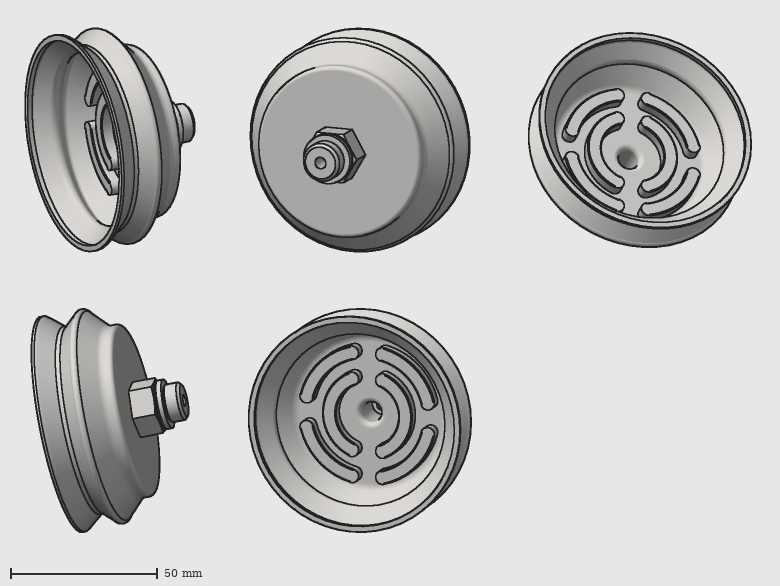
import cadquery as cq
import math


lip_radius = 37.5
lip_band_height = 1.0
lip_cone_radius = 36.9
lip_cone_height = 1.9
neck_edge_radius = 32.7
neck_radius = 32.55
neck_low = 7.1
neck_high = 8.8
bulge_low_radius = 36.6
bulge_low = 13.2
bulge_radius = 37.35
bulge_mid = 14.55
bulge_high_radius = 36.4
bulge_high = 15.8
shoulder_radius = 30.75
shoulder_low = 21.5
shoulder_mid_radius = 30.1
shoulder_mid = 22.8
shoulder_high = 24.2
top_radius = 30.0
body_height = 26.55
top_round = 1.5

mouth_radius = 71.0 / 2
mouth_depth = 1.7
mouth_cone_radius = 35.0
mouth_cone_height = 2.4
throat_radius = 60.0 / 2
throat_edge_radius = 30.6
throat_low = 6.3
throat_mid = (neck_low + neck_high) / 2
throat_high = 2 * throat_mid - throat_low
chamber_radius = 33.4
chamber_edge_radius = 32.85
floor_height = 20.4
floor_radius = 24.9
floor_fillet_end = 27.5

rib_width = 4.8
rib_height = 4.35
inner_rib_radius = 13.5
outer_rib_radius = 22.1
rib_gap = 6.1
rib_chamfer = 0.4
rib_root_depth = 0.75

hex_flats = 16.95
hex_top = 34.9
hex_chamfer_angle = 15.0
washer_diameter = 17.0
washer_groove_diameter = 15.1
washer_groove_low = 35.2
washer_groove_high = 35.8
washer_top = 37.65
stud_diameter = 13.2
stud_relief_radius = 6.0
stud_base = 38.25
stud_top = 43.5
stud_chamfer = 1.05

bore_diameter = 4.0
entry_diameter = 7.0
entry_round = 2.0


def revolve_about_axis(profile):
    """Turn a closed (radius, y) outline around the Y axis."""
    return profile.close().revolve(360, (0, 0, 0), (0, 1, 0))


def cylinder(diameter, low, high):
    """Cylinder on the Y axis between two heights."""
    return revolve_about_axis(
        cq.Workplane("XY").moveTo(0, low).lineTo(diameter / 2, low).lineTo(diameter / 2, high).lineTo(0, high)
    )


def bellows_outside():
    corner_inset = top_round * (1 - math.sqrt(0.5))
    profile = (
        cq.Workplane("XY")
        .lineTo(lip_radius, 0)
        .lineTo(lip_radius, lip_band_height)
        .lineTo(lip_cone_radius, lip_cone_height)
        .lineTo(neck_edge_radius, neck_low)
        .threePointArc((neck_radius, (neck_low + neck_high) / 2), (neck_edge_radius, neck_high))
        .lineTo(bulge_low_radius, bulge_low)
        .threePointArc((bulge_radius, bulge_mid), (bulge_high_radius, bulge_high))
        .lineTo(shoulder_radius, shoulder_low)
        .threePointArc((shoulder_mid_radius, shoulder_mid), (top_radius, shoulder_high))
        .lineTo(top_radius, body_height - top_round)
        .threePointArc(
            (top_radius - corner_inset, body_height - corner_inset),
            (top_radius - top_round, body_height),
        )
        .lineTo(0, body_height)
    )
    return revolve_about_axis(profile)


def bellows_cavity():
    fillet_radius = (floor_fillet_end - floor_radius) / math.sin(math.radians(45))
    fillet_end_height = floor_height - fillet_radius * (1 - math.cos(math.radians(45)))
    fillet_mid = (
        floor_radius + fillet_radius * math.sin(math.radians(22.5)),
        floor_height - fillet_radius * (1 - math.cos(math.radians(22.5))),
    )
    chamber_high = fillet_end_height - (chamber_edge_radius - floor_fillet_end)
    chamber_low = throat_high + (chamber_edge_radius - throat_edge_radius)
    chamber_mid = (chamber_low + chamber_high) / 2
    profile = (
        cq.Workplane("XY")
        .lineTo(mouth_radius, 0)
        .lineTo(mouth_radius, mouth_depth)
        .lineTo(mouth_cone_radius, mouth_cone_height)
        .lineTo(throat_edge_radius, throat_low)
        .threePointArc((throat_radius, throat_mid), (throat_edge_radius, throat_high))
        .lineTo(chamber_edge_radius, chamber_low)
        .threePointArc((chamber_radius, chamber_mid), (chamber_edge_radius, chamber_high))
        .lineTo(floor_fillet_end, fillet_end_height)
        .threePointArc(fillet_mid, (floor_radius, floor_height))
        .lineTo(0, floor_height)
    )
    return revolve_about_axis(profile)


def arc_rib(radius, middle_angle, span):
    """Round-ended rib along an arc; angles in degrees in the XZ plane."""
    end_inset = math.degrees(math.asin((rib_gap + rib_width) / 2 / radius))
    half_sweep = span / 2 - end_inset
    half_width = rib_width / 2

    def point(distance, angle):
        turn = math.radians(middle_angle + angle)
        return (distance * math.cos(turn), distance * math.sin(turn))

    def end_tip(side):
        center = point(radius, side * half_sweep)
        turn = math.radians(middle_angle + side * (half_sweep + 90))
        return (center[0] + half_width * math.cos(turn), center[1] + half_width * math.sin(turn))

    outer = radius + half_width
    inner = radius - half_width
    root = floor_height + rib_root_depth
    rib = (
        cq.Workplane("XZ", origin=(0, root, 0))
        .moveTo(*point(outer, -half_sweep))
        .threePointArc(point(outer, 0), point(outer, half_sweep))
        .threePointArc(end_tip(1), point(inner, half_sweep))
        .threePointArc(point(inner, 0), point(inner, -half_sweep))
        .threePointArc(end_tip(-1), point(outer, -half_sweep))
        .close()
        .extrude(root - floor_height + rib_height)
    )
    face = floor_height - rib_height
    for edge_radius, inward in ((outer, -1), (inner, 1)):
        chamfer = (
            cq.Workplane("XY")
            .moveTo(edge_radius, face)
            .lineTo(edge_radius + inward * rib_chamfer, face)
            .lineTo(edge_radius, face + rib_chamfer)
            .close()
            .revolve(2 * half_sweep, (0, 0, 0), (0, 1, 0))
            .rotate((0, 0, 0), (0, 1, 0), -middle_angle - half_sweep)
        )
        rib = rib.cut(chamfer)
    return rib


def hex_nut():
    corner_diameter = hex_flats / math.cos(math.radians(30))
    corner_radius = corner_diameter / 2
    chamfer_radius = washer_diameter / 2
    chamfer_drop = (corner_radius - chamfer_radius) * math.tan(math.radians(hex_chamfer_angle))
    prism = (
        cq.Workplane("XZ", origin=(0, body_height, 0))
        .polygon(6, corner_diameter)
        .extrude(body_height - hex_top)
    )
    trim = revolve_about_axis(
        cq.Workplane("XY")
        .moveTo(0, body_height)
        .lineTo(corner_radius, body_height)
        .lineTo(corner_radius, hex_top - chamfer_drop)
        .lineTo(chamfer_radius, hex_top)
        .lineTo(0, hex_top)
    )
    return prism.intersect(trim)


def washer_and_stud():
    stud_radius = stud_diameter / 2
    profile = (
        cq.Workplane("XY")
        .moveTo(0, hex_top)
        .lineTo(washer_diameter / 2, hex_top)
        .lineTo(washer_diameter / 2, washer_groove_low)
        .lineTo(washer_groove_diameter / 2, washer_groove_low)
        .lineTo(washer_groove_diameter / 2, washer_groove_high)
        .lineTo(washer_diameter / 2, washer_groove_high)
        .lineTo(washer_diameter / 2, washer_top)
        .lineTo(stud_relief_radius, washer_top)
        .lineTo(stud_radius, stud_base)
        .lineTo(stud_radius, stud_top - stud_chamfer)
        .lineTo(stud_radius - stud_chamfer, stud_top)
        .lineTo(0, stud_top)
    )
    return revolve_about_axis(profile)


def air_passage():
    entry_radius = entry_diameter / 2
    entry_end = hex_top
    round_inset = entry_round * (1 - math.sqrt(0.5))
    flared_entry = revolve_about_axis(
        cq.Workplane("XY")
        .moveTo(0, floor_height)
        .lineTo(entry_radius + entry_round, floor_height)
        .threePointArc(
            (entry_radius + round_inset, floor_height + round_inset),
            (entry_radius, floor_height + entry_round),
        )
        .lineTo(entry_radius, entry_end)
        .lineTo(0, entry_end)
    )
    return flared_entry.union(cylinder(bore_diameter, floor_height, stud_top))


body = bellows_outside().cut(bellows_cavity())
for side_angle in (0, 180):
    body = body.union(arc_rib(inner_rib_radius, side_angle, 180))
for quadrant_angle in (45, 135, 225, 315):
    body = body.union(arc_rib(outer_rib_radius, quadrant_angle, 90))

result = body.union(hex_nut()).union(washer_and_stud()).cut(air_passage())